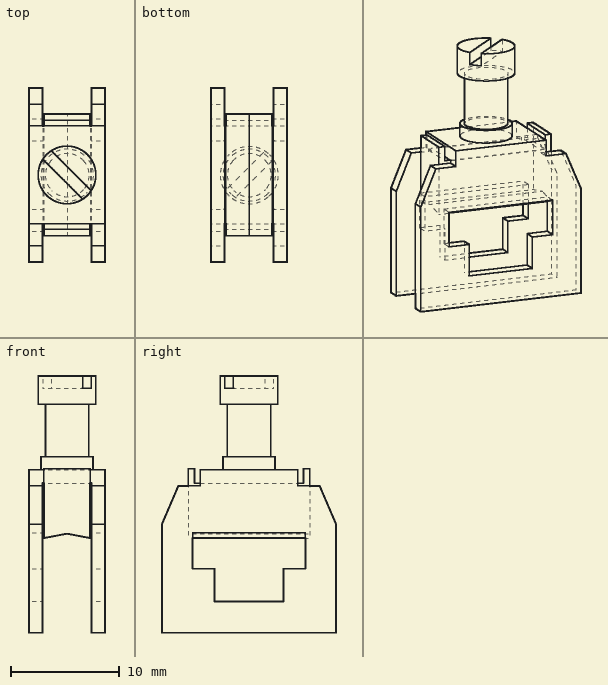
import cadquery as cq

SADDLE_WIDTH = 7.0
PLATE_LENGTH = 16.0
SHEET = 1.25
BRIDGE_TOP = 15.0
BRIDGE_LENGTH = 9.0
SHOULDER_Z = 13.5
SHOULDER_LENGTH = 13.0
SLOPE_FOOT_Z = 10.0

WINDOW_TOP = 9.2
WINDOW_STEP_Z = 5.9
WINDOW_BOTTOM = 2.9
WINDOW_UPPER_LENGTH = 10.35
WINDOW_LOWER_LENGTH = 6.3

BLOCK_WIDTH = 4.25
BLOCK_LENGTH = 11.2
BLOCK_BOTTOM = 8.7
NOTCH_PEAK_Z = 9.1
LIP_TOP = 15.1
LIP_THICKNESS = 0.6

TOTAL_HEIGHT = 23.6
HEAD_DIAMETER = 5.3
HEAD_HEIGHT = 2.6
SHANK_DIAMETER = 4.0
COLLAR_DIAMETER = 4.8
COLLAR_HEIGHT = 1.2
SLOT_WIDTH = 1.1
SLOT_DEPTH = 1.15
SLOT_ANGLE = -45.0

BRIDGE_UNDERSIDE = BRIDGE_TOP - SHEET


def box_between(x_size, y_size, z_low, z_high):
    """Box centred on the Z axis, between two heights."""
    box = cq.Workplane("XY").box(x_size, y_size, z_high - z_low, centered=(True, True, False))
    return box.translate((0, 0, z_low))


def make_saddle():
    half_bridge = BRIDGE_LENGTH / 2
    half_shoulder = SHOULDER_LENGTH / 2
    half_plate = PLATE_LENGTH / 2
    right_side = [
        (half_plate, 0),
        (half_plate, SLOPE_FOOT_Z),
        (half_shoulder, SHOULDER_Z),
        (half_bridge, SHOULDER_Z),
        (half_bridge, BRIDGE_TOP),
    ]
    left_side = [(-y, z) for y, z in reversed(right_side)]
    saddle = (
        cq.Workplane("YZ")
        .polyline(right_side + left_side)
        .close()
        .extrude(SADDLE_WIDTH / 2, both=True)
    )
    inner_gap = box_between(SADDLE_WIDTH - 2 * SHEET, PLATE_LENGTH, 0, BRIDGE_UNDERSIDE)
    upper_window = box_between(SADDLE_WIDTH, WINDOW_UPPER_LENGTH, WINDOW_STEP_Z, WINDOW_TOP)
    lower_window = box_between(SADDLE_WIDTH, WINDOW_LOWER_LENGTH, WINDOW_BOTTOM, WINDOW_STEP_Z)
    return saddle.cut(inner_gap).cut(upper_window).cut(lower_window)


def make_block():
    half_width = BLOCK_WIDTH / 2
    block = (
        cq.Workplane("XZ")
        .polyline([
            (-half_width, BLOCK_BOTTOM),
            (0, NOTCH_PEAK_Z),
            (half_width, BLOCK_BOTTOM),
            (half_width, BRIDGE_UNDERSIDE),
            (-half_width, BRIDGE_UNDERSIDE),
        ])
        .close()
        .extrude(BLOCK_LENGTH / 2, both=True)
    )
    lip = box_between(BLOCK_WIDTH, LIP_THICKNESS, BRIDGE_UNDERSIDE, LIP_TOP)
    lip_offset = (BLOCK_LENGTH - LIP_THICKNESS) / 2
    for side in (-1, 1):
        block = block.union(lip.translate((0, side * lip_offset, 0)))
    return block


def make_screw():
    head_bottom = TOTAL_HEIGHT - HEAD_HEIGHT
    collar_top = BRIDGE_TOP + COLLAR_HEIGHT
    collar = cq.Workplane("XY", origin=(0, 0, BRIDGE_TOP)).circle(COLLAR_DIAMETER / 2).extrude(COLLAR_HEIGHT)
    shank = (
        cq.Workplane("XY", origin=(0, 0, collar_top))
        .circle(SHANK_DIAMETER / 2)
        .extrude(head_bottom - collar_top)
    )
    head = cq.Workplane("XY", origin=(0, 0, head_bottom)).circle(HEAD_DIAMETER / 2).extrude(HEAD_HEIGHT)
    slot = box_between(2 * HEAD_DIAMETER, SLOT_WIDTH, TOTAL_HEIGHT - SLOT_DEPTH, TOTAL_HEIGHT)
    slot = slot.rotate((0, 0, 0), (0, 0, 1), SLOT_ANGLE)
    return collar.union(shank).union(head.cut(slot))


result = make_saddle().union(make_block()).union(make_screw())